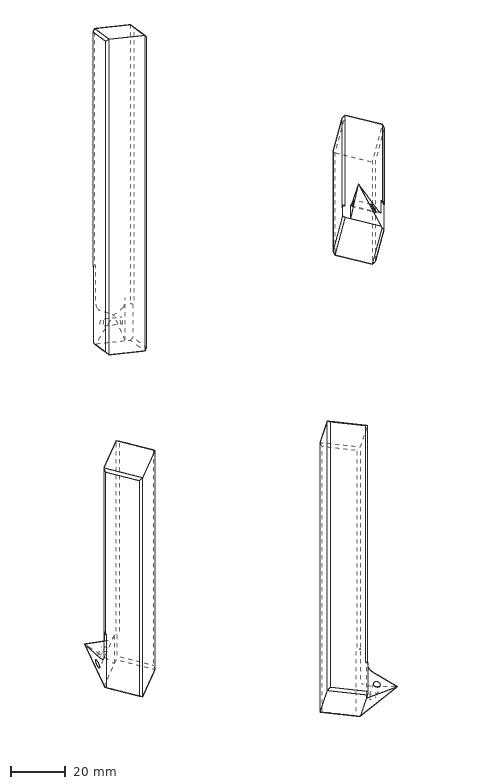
import cadquery as cq
import math

length = 120.0
shank_width = 15.0
shank_depth = 16.0
chamfer = 1.0
back_chamfer_start = 13.9

nose_reach = 11.5
nose_half_angle = math.radians(30)
nose_back_y = 13.0
root_radius = 5.0
relief_height = 30.0
hole_diameter = 2.5
hole_from_tip = 7.7

tip_z = nose_reach * math.tan(nose_half_angle)
relief_setback = nose_back_y - nose_reach


def make_shank():
    block = cq.Workplane("XY").box(shank_width, shank_depth, length, centered=False)
    long_edges = block.edges("|Z").edges(">X or <Y")
    end_edges = block.edges("|X")
    return block.newObject(long_edges.vals() + end_edges.vals()).chamfer(chamfer)


def make_back_chamfer():
    """Triangular prism removed from the upper part of the -X/+Y edge."""
    return (
        cq.Workplane("XY", origin=(0, 0, back_chamfer_start))
        .moveTo(0, shank_depth)
        .lineTo(chamfer, shank_depth)
        .lineTo(0, shank_depth - chamfer)
        .close()
        .extrude(length - back_chamfer_start)
    )


def make_nose():
    """Triangular nose with a rounded upper root, embedded slightly in the shank."""
    embed = shank_width / 2
    root_tangent = root_radius * math.tan(math.pi / 4 - nose_half_angle / 2)
    upper_root_z = 2 * tip_z
    arc_start = (
        -root_tangent * math.cos(nose_half_angle),
        upper_root_z - root_tangent * math.sin(nose_half_angle),
    )
    arc_middle = (
        -root_radius * (1 - math.cos(nose_half_angle)),
        upper_root_z + root_tangent - root_radius * math.sin(nose_half_angle),
    )
    arc_end = (0, upper_root_z + root_tangent)
    return (
        cq.Workplane("XZ", origin=(0, nose_back_y, 0))
        .moveTo(0, 0)
        .lineTo(-nose_reach, tip_z)
        .lineTo(*arc_start)
        .threePointArc(arc_middle, arc_end)
        .lineTo(embed, arc_end[1])
        .lineTo(embed, chamfer)
        .lineTo(0, chamfer)
        .close()
        .extrude(nose_back_y - chamfer)
    )


def make_relief():
    """Solid to remove in front of the 45 degree face through the tip."""
    overrun = 1.2
    front_y = -overrun
    left_x = -nose_reach - overrun
    return (
        cq.Workplane("XY")
        .moveTo(left_x, front_y)
        .lineTo(relief_setback - front_y, front_y)
        .lineTo(left_x, relief_setback - left_x)
        .close()
        .extrude(relief_height)
    )


def make_hole():
    return (
        cq.Workplane("XZ", origin=(0, shank_depth, 0))
        .center(hole_from_tip - nose_reach, tip_z)
        .circle(hole_diameter / 2)
        .extrude(shank_depth)
    )


result = make_shank().cut(make_back_chamfer()).union(make_nose()).cut(make_relief()).cut(make_hole())